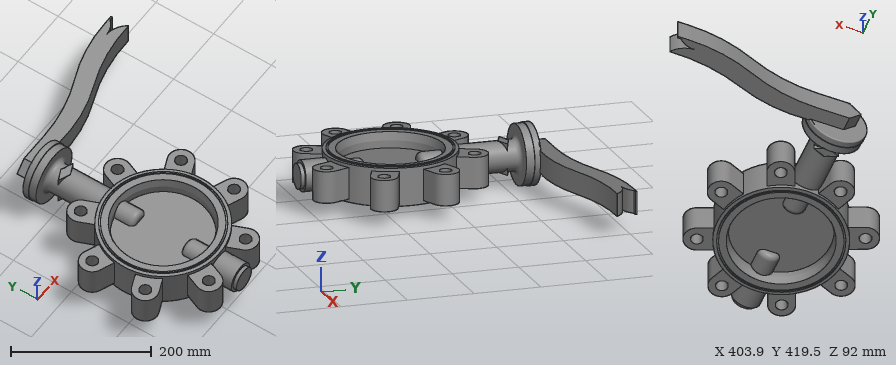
import cadquery as cq
import math


ring_radius = 97.5
ring_height = 57.0
lip_outer_radius = 92.0
lip_inner_radius = 89.3
lip_height = 1.5
bore_radius = 78.6
seat_radius = 75.3
seat_half_height = 16.0

disc_thickness = 10.0
stub_radius = 17.7
stub_inner_end = 40.4
stub_end_fillet = 8.5

lug_count = 8
bolt_circle_radius = 120.0
lug_radius = 20.0
bolt_hole_diameter = 18.0
lug_height = 47.0

neck_radius = 23.0
boss_end = -134.0
cap_end = -140.0
cap_radius = 18.75
flange_bottom = 189.0
flange_top = 201.5
flange_radius = 45.0
neck_fillet = 7.5

pad_y = 169.0
pad_width = 37.6
pad_length = 16.5
pad_height = 23.5

plate_radius = 46.0
plate_top = 212.0
plate_edge_fillet = 2.0
lever_thickness = 34.0
lever_back = -27.2
lever_point_length = 18.0
lever_tip = 273.0
top_start = (40.0, 234.5)
top_inflection = (150.0, 257.3)
top_end_y = 279.5
bottom_start = (40.0, 210.0)
bottom_low_point = (60.0, 209.2)
bottom_inflection = (155.6, 228.0)
bottom_end_y = 249.2

notch_apex = (243.0, 266.0)
notch_upper_middle = (256.0, 269.0)
notch_upper_end = (267.0, 276.7)
notch_lower_middle = (259.5, 261.7)
notch_tip_thickness = 0.8
notch_lip_thickness = 2.5


def shaft_cylinder(radius, start_y, end_y):
    """Cylinder on the shaft axis between two Y positions."""
    plane = cq.Workplane("XZ", origin=(0, start_y, 0))
    return plane.circle(radius).extrude(start_y - end_y)


def ring_blank():
    """Solid ring blank with a raised sealing lip on both faces."""
    blank = cq.Workplane("XY").circle(ring_radius).extrude(ring_height / 2, both=True)
    lips = (
        cq.Workplane("XY")
        .workplane(offset=ring_height / 2)
        .circle(lip_outer_radius)
        .circle(lip_inner_radius)
        .extrude(lip_height)
    )
    return blank.union(lips).union(lips.mirror("XY"))


def lug_blanks():
    """Round-ended lugs, spaced so that the shaft passes midway between two."""
    pitch = 360 / lug_count
    lugs = cq.Workplane("XY")
    for index in range(lug_count):
        lug = (
            cq.Workplane("XY")
            .center(bolt_circle_radius / 2, 0)
            .rect(bolt_circle_radius, 2 * lug_radius)
            .extrude(lug_height / 2, both=True)
            .union(
                cq.Workplane("XY")
                .center(bolt_circle_radius, 0)
                .circle(lug_radius)
                .extrude(lug_height / 2, both=True)
            )
        )
        lugs = lugs.union(lug.rotate((0, 0, 0), (0, 0, 1), (index + 0.5) * pitch))
    return lugs


def bolt_holes():
    """Through holes at the lug centres."""
    return (
        cq.Workplane("XY")
        .polarArray(bolt_circle_radius, 180 / lug_count, 360, lug_count)
        .circle(bolt_hole_diameter / 2)
        .extrude(lug_height, both=True)
    )


def flow_bore():
    """Bore that tapers from both faces down to the cylindrical seat around the disc."""
    bore_end = ring_height / 2 + lip_height
    return (
        cq.Workplane("XZ")
        .polyline(
            [
                (0, -bore_end),
                (bore_radius, -bore_end),
                (seat_radius, -seat_half_height),
                (seat_radius, seat_half_height),
                (bore_radius, bore_end),
                (0, bore_end),
            ]
        )
        .close()
        .revolve(360, (0, 0, 0), (0, 1, 0))
    )


def disc_with_stubs():
    """Closed disc with a round-ended shaft stub at the top and the bottom."""
    stub_outer_end = (bore_radius + ring_radius) / 2
    disc = cq.Workplane("XY").circle(bore_radius).extrude(disc_thickness / 2, both=True)
    top_stub = shaft_cylinder(stub_radius, stub_inner_end, stub_outer_end)
    top_stub = top_stub.faces("<Y").edges().fillet(stub_end_fillet)
    return disc.union(top_stub).union(top_stub.mirror("XZ"))


def neck_and_boss():
    """Neck with its filleted flange, and the capped boss opposite it."""
    fillet_outer_radius = neck_radius + neck_fillet
    fillet_start = flange_bottom - neck_fillet
    arc_offset = neck_fillet * (1 - math.sqrt(0.5))
    return (
        cq.Workplane("XY")
        .moveTo(0, cap_end)
        .lineTo(-cap_radius, cap_end)
        .lineTo(-cap_radius, boss_end)
        .lineTo(-neck_radius, boss_end)
        .lineTo(-neck_radius, fillet_start)
        .threePointArc(
            (-neck_radius - arc_offset, flange_bottom - arc_offset),
            (-fillet_outer_radius, flange_bottom),
        )
        .lineTo(-flange_radius, flange_bottom)
        .lineTo(-flange_radius, flange_top)
        .lineTo(0, flange_top)
        .close()
        .revolve(360, (0, 0, 0), (0, 1, 0))
    )


def diamond_pads():
    """Diamond prism through the neck, ending in a flat pad above and below."""
    return (
        cq.Workplane("XY")
        .center(0, pad_y)
        .polyline(
            [
                (-pad_width / 2, 0),
                (0, -pad_length / 2),
                (pad_width / 2, 0),
                (0, pad_length / 2),
            ]
        )
        .close()
        .extrude(pad_height, both=True)
    )


def make_valve_body():
    """Ring, lugs, neck and closed disc as one solid."""
    outside = ring_blank().union(lug_blanks()).union(neck_and_boss())
    return (
        outside.union(diamond_pads())
        .cut(flow_bore())
        .cut(bolt_holes())
        .union(disc_with_stubs())
    )


def lever_bar():
    """S-shaped bar; each long side holds two tangent arcs."""
    top_run = top_inflection[0] - top_start[0]
    top_rise = top_inflection[1] - top_start[1]
    top_end_x = top_inflection[0] + top_run * (top_end_y - top_inflection[1]) / top_rise
    return (
        cq.Workplane("XY")
        .moveTo(lever_back, bottom_start[1])
        .lineTo(*bottom_start)
        .threePointArc(bottom_low_point, bottom_inflection)
        .tangentArcPoint((lever_tip, bottom_end_y), relative=False)
        .lineTo(lever_tip, top_end_y)
        .lineTo(top_end_x, top_end_y)
        .tangentArcPoint(top_inflection, relative=False)
        .tangentArcPoint(top_start, relative=False)
        .lineTo(lever_back, top_start[1])
        .close()
        .extrude(lever_thickness / 2, both=True)
    )


def lever_point_cuts():
    """Wedges that leave the back end of the lever as a vertical V."""
    wedge = (
        cq.Workplane("XZ", origin=(0, plate_top, 0))
        .polyline(
            [
                (lever_back, 0),
                (lever_back, lever_thickness / 2),
                (lever_back + lever_point_length, lever_thickness / 2),
            ]
        )
        .close()
        .extrude(plate_top - top_end_y)
    )
    return wedge.union(wedge.mirror("XY"))


def fishtail_notch():
    """Wave-edged wedge that opens through the end of the lever."""
    lower_tip = (lever_tip, bottom_end_y + notch_tip_thickness)
    upper_tip = (lever_tip, top_end_y - notch_lip_thickness)
    overshoot_x = lever_tip + lever_thickness
    return (
        cq.Workplane("XY")
        .moveTo(*lower_tip)
        .threePointArc(notch_lower_middle, notch_apex)
        .threePointArc(notch_upper_middle, notch_upper_end)
        .lineTo(*upper_tip)
        .lineTo(overshoot_x, upper_tip[1])
        .lineTo(overshoot_x, lower_tip[1])
        .close()
        .extrude(lever_thickness, both=True)
    )


def make_lever():
    """Round plate on the flange, with the lever bar rising from it."""
    plate = shaft_cylinder(plate_radius, flange_top, plate_top)
    plate = plate.faces(">Y").edges().fillet(plate_edge_fillet)
    bar = lever_bar().cut(lever_point_cuts()).cut(fishtail_notch())
    return plate.union(bar)


valve_body = make_valve_body()
lever = make_lever()

result = cq.Compound.makeCompound([valve_body.solids().val(), lever.solids().val()])